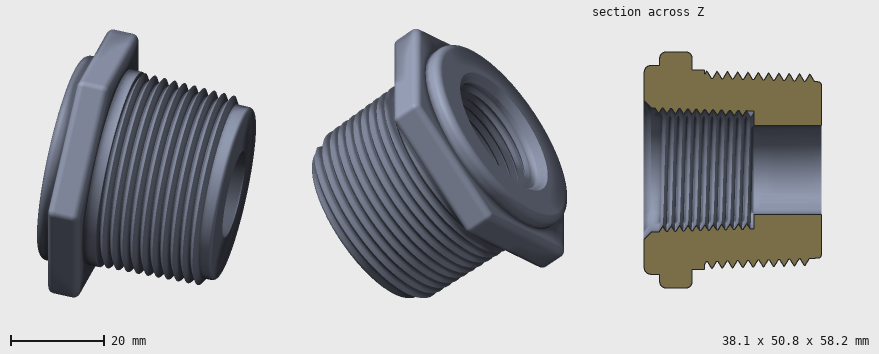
import cadquery as cq
import math

total_length = 38.1
hex_start = 3.3
hex_end = 10.4
collar_end = 13.05

rim_diameter = 45.0
rim_fillet = 1.6
hex_across_flats = 50.8
hex_fillet = 1.5
collar_diameter = 42.95

taper_slope = 1 / 32
taper_angle = math.degrees(math.atan(taper_slope))
root_overlap = 0.09

shank_tip_radius = 18.95
shank_tip_fillet = 0.75
outer_pitch = 2.2
outer_turns = 11
outer_start = 11.3
outer_ridge_height = 1.65
outer_ridge_half_width = 1.05
outer_runout_angle = 26
outer_runout_steps = 2

mouth_diameter = 29.75
mouth_chamfer = 1.6
socket_depth = 23.55
through_diameter = 19.0
inner_pitch = 1.8
inner_turns = 11
inner_start = 3.15
inner_ridge_height = 1.2
inner_ridge_half_width = 0.845
inner_runout_angle = -14
inner_runout_steps = 1

axis_plane = cq.Plane(origin=(0, 0, 0), xDir=(0, 1, 0), normal=(1, 0, 0))
socket_mouth_radius = mouth_diameter / 2 - mouth_chamfer


def shank_radius(x):
    return shank_tip_radius + (total_length - x) * taper_slope


def socket_radius(x):
    return socket_mouth_radius - (x - mouth_chamfer) * taper_slope


def cylinder(diameter, start, end):
    return cq.Workplane(axis_plane).workplane(offset=start).circle(diameter / 2).extrude(end - start)


def cone(start_radius, end_radius, start, end):
    axis = cq.Vector(1, 0, 0)
    return cq.Workplane(cq.Solid.makeCone(start_radius, end_radius, end - start, cq.Vector(start, 0, 0), axis))


def ridge_section(root_radius, x, height, half_width):
    """Corners of the triangular ridge at the +Y side; a negative height points inward."""
    base_radius = root_radius - math.copysign(root_overlap, height)
    return [
        (base_radius, 0, x - half_width),
        (root_radius + height, 0, x),
        (base_radius, 0, x + half_width),
    ]


def thread_ridge(root_radius, start, pitch, turns, height, half_width):
    """Right-handed ridge winding up a cone that narrows toward +X."""
    helix = cq.Wire.makeHelix(
        pitch, pitch * turns, root_radius, cq.Vector(0, 0, start), cq.Vector(0, 0, 1), -taper_angle
    )
    section = cq.Wire.makePolygon(
        [cq.Vector(*p) for p in ridge_section(root_radius, start, height, half_width)], close=True
    )
    ridge = cq.Solid.sweep(section, [], helix, True, True)
    return cq.Workplane(ridge.moved(cq.Location(axis_plane)))


def turned(point, angle):
    """Point rotated about the part axis."""
    radius, _, x = point
    turn = math.radians(angle)
    return cq.Vector(radius * math.cos(turn), radius * math.sin(turn), x)


def thread_runout(root_radius, x, pitch, height, half_width, angle, steps):
    """Faceted horn in which the ridge shrinks parabolically to a point over the given angle."""
    sections = []
    for step in range(steps):
        fraction = step / steps
        size = 1 - fraction**2
        station = x + fraction * pitch * angle / 360
        section = ridge_section(root_radius, station, height * size, half_width * size)
        sections.append([turned(p, fraction * angle) for p in section])
    tip = turned((root_radius, 0, x + pitch * angle / 360), angle)

    triangles = [sections[0]]
    for near, far in zip(sections, sections[1:]):
        for i in range(3):
            j = (i + 1) % 3
            triangles.append([near[i], near[j], far[i]])
            triangles.append([near[j], far[j], far[i]])
    for i in range(3):
        triangles.append([sections[-1][i], sections[-1][(i + 1) % 3], tip])
    faces = [cq.Face.makeFromWires(cq.Wire.makePolygon(t, close=True)) for t in triangles]
    horn = cq.Solid.makeSolid(cq.Shell.makeShell(faces))
    return cq.Workplane(horn.moved(cq.Location(axis_plane)))


def make_flanges():
    rim = cylinder(rim_diameter, 0, hex_start).faces("<X").edges().fillet(rim_fillet)
    hexagon = (
        cq.Workplane(axis_plane)
        .workplane(offset=hex_start)
        .polygon(6, hex_across_flats, circumscribed=True)
        .extrude(hex_end - hex_start)
        .edges()
        .fillet(hex_fillet)
    )
    collar = cylinder(collar_diameter, hex_end, collar_end)
    return rim.union(hexagon).union(collar)


def make_shank():
    shank = cone(shank_radius(hex_end), shank_tip_radius, hex_end, total_length)
    return shank.faces(">X").edges().fillet(shank_tip_fillet)


def make_outer_thread():
    end = outer_start + outer_pitch * outer_turns
    ridge = thread_ridge(
        shank_radius(outer_start), outer_start, outer_pitch, outer_turns,
        outer_ridge_height, outer_ridge_half_width,
    )
    runout = thread_runout(
        shank_radius(end), end, outer_pitch,
        outer_ridge_height, outer_ridge_half_width, outer_runout_angle, outer_runout_steps,
    )
    return ridge, runout


def make_bore():
    mouth = cone(mouth_diameter / 2, socket_mouth_radius, 0, mouth_chamfer)
    socket = cone(socket_mouth_radius, socket_radius(socket_depth), mouth_chamfer, socket_depth)
    return mouth.union(socket).union(cylinder(through_diameter, 0, total_length))


def make_inner_thread():
    ridge = thread_ridge(
        socket_radius(inner_start), inner_start, inner_pitch, inner_turns,
        -inner_ridge_height, inner_ridge_half_width,
    )
    runout = thread_runout(
        socket_radius(inner_start), inner_start, inner_pitch,
        -inner_ridge_height, inner_ridge_half_width, inner_runout_angle, inner_runout_steps,
    )
    return ridge, runout


result = make_flanges().union(make_shank()).cut(make_bore())
for thread_piece in (*make_outer_thread(), *make_inner_thread()):
    result = result.union(thread_piece)